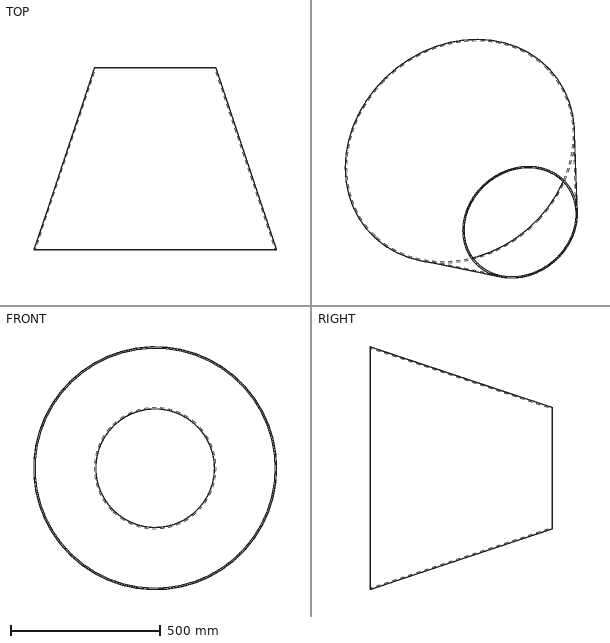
import cadquery as cq

large_diameter = 813.0
small_diameter = large_diameter / 2
length = 610.0
wall = 5.4

large_radius = large_diameter / 2
small_radius = small_diameter / 2

wall_section = [
    (large_radius - wall, 0),
    (large_radius, 0),
    (small_radius, length),
    (small_radius - wall, length),
]

result = (
    cq.Workplane("XY")
    .polyline(wall_section)
    .close()
    .revolve(360, (0, 0, 0), (0, 1, 0))
)